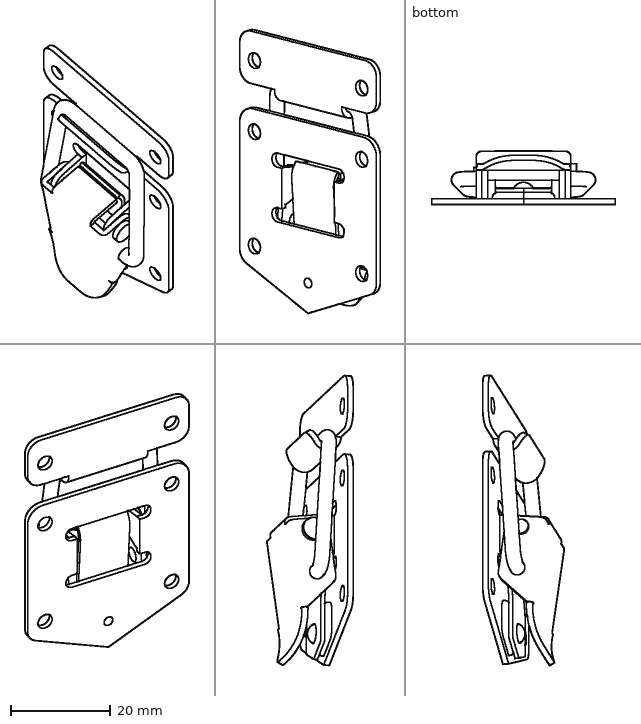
import cadquery as cq
import math


sheet = 1.2
plate_width = 37.0
half_width = plate_width / 2
total_height = 56.2
screw_hole_dia = 3.2
screw_hole_x = 14.5
tail_slope = 0.433

base_top = 40.0
base_top_radius = 3.5
base_side_radius = 3.0
base_hole_heights = (11.25, 35.25)

slot_half_length = 9.75
slot_height = 2.95
upper_slot_z = 30.53
lower_slot_z = 19.05

pad_half_width = 6.3
pad_tip_z = 1.8
pad_top = 12.0
pad_height = 1.3
pad_corner_radius = 2.15
pad_edge_radius = 1.2

pin_depth = 6.0
pin_z = 25.5
pin_radius = 1.05
small_head_radius = 1.5
small_head_thickness = 0.5
large_head_radius = 2.25
large_head_thickness = 1.15
lug_end_radius = 2.6
lug_root_top = 29.0
lug_root_bottom = 21.15

lever_half_width = 9.55
lever_inner_x = lever_half_width - sheet
lug_inner_x = lever_inner_x - sheet
lever_tilt = 8.0
lever_top_depth = 10.77
lever_top_z = 27.2
lever_face_length = 18.12
flange_depth = 7.95
flange_back_end = 13.0
flange_top_radius = 2.6
flange_back_radius = 2.0
lever_edge_radius = 1.2
tongue_rise = 0.3
tongue_bend_radius = sheet
tongue_length = 7.45
tongue_half_width = 5.65
lip_radius = 13.2
lip_angle = 38.4
lip_flat_half = 1.9
lip_corner_radius = 6.0
lip_taper = 23.0

wire_radius = 1.5
bail_pivot_depth = 5.2
bail_pivot_z = 16.75
bail_bend_radius = 2.5
bail_top_half = 10.97
bail_pivot_half = 13.21
bail_bar_z = 45.0

strike_bottom = 45.19
strike_corner_radius = 3.0
strike_hole_z = 50.2
hook_half_width = 9.05
hook_radius = 2.95
hook_lip_angle = 58.0
hook_lip_length = 3.02
hook_lip_corner = 2.5
bail_bar_depth = hook_radius

spring_thickness = 0.8
spring_half_width = 5.65
spring_tip_z = 1.05
spring_corner_radius = 0.6
spring_lean_z = 12.2
spring_curl_z = 27.0
spring_curl_depth = 1.38
spring_curl_radius = 4.0
spring_curl_end = 48.0
rivet_z = 6.4
rivet_head_radius = 2.0
rivet_head_height = 1.2
rivet_shank_radius = 1.0
spring_depth = sheet + pad_height
rivet_seat_depth = spring_depth + spring_thickness


def polar(radius, angle):
    """Point at an angle in degrees from the first axis."""
    return radius * math.cos(math.radians(angle)), radius * math.sin(math.radians(angle))


def rod_x(x_start, x_end, radius, depth, z):
    """Cylinder along X."""
    plane = cq.Plane(origin=(x_start, -depth, z), xDir=(0, 1, 0), normal=(1, 0, 0))
    return cq.Workplane(plane).circle(radius).extrude(x_end - x_start)


def facing_plane(depth):
    """Sketch plane facing forward: local x is X, local y is Z, extrusion runs along -Y."""
    return cq.Workplane("XZ", origin=(0, -depth, 0))


def shield(depth, thickness, half, tip_z, top, side_radius, top_radius=0):
    """Plate with a square top and a V-shaped lower end."""
    side_z = tip_z + tail_slope * half
    outline = [(-half, top), (-half, side_z), (0, tip_z), (half, side_z), (half, top)]
    plate = facing_plane(depth).polyline(outline).close().extrude(thickness)
    plate = plate.edges("|Y").edges("<X or >X").edges("<Z").fillet(side_radius)
    if top_radius:
        plate = plate.edges("|Y").edges(">Z").fillet(top_radius)
    return plate


def screw_holes(heights):
    points = [(side * screw_hole_x, z) for side in (-1, 1) for z in heights]
    return facing_plane(0).pushPoints(points).circle(screw_hole_dia / 2).extrude(sheet)


def lug(x_start):
    """Upright ear carrying the hinge pin, with edges tangent to its rounded end."""

    def tangent_point(root_z, side):
        reach = pin_depth - sheet
        rise = (root_z - pin_z) * side
        to_root = math.degrees(math.atan2(rise, -reach))
        spread = math.degrees(math.acos(lug_end_radius / math.hypot(reach, rise)))
        forward, up = polar(lug_end_radius, to_root - spread)
        return -(pin_depth + forward), pin_z + side * up

    return (
        cq.Workplane("YZ", origin=(x_start, 0, 0))
        .moveTo(-sheet, lug_root_bottom)
        .lineTo(-sheet, lug_root_top)
        .lineTo(*tangent_point(lug_root_top, 1))
        .threePointArc((-(pin_depth + lug_end_radius), pin_z), tangent_point(lug_root_bottom, -1))
        .close()
        .extrude(sheet)
    )


def make_base():
    base = shield(0, sheet, half_width, 0, base_top, base_side_radius, base_top_radius)
    base = base.cut(screw_holes(base_hole_heights))
    for z in (lower_slot_z, upper_slot_z):
        slot = facing_plane(0).center(0, z).slot2D(2 * slot_half_length, slot_height).extrude(sheet)
        base = base.cut(slot)
    opening_height = upper_slot_z - lower_slot_z
    opening = (
        facing_plane(0)
        .center(0, lower_slot_z + opening_height / 2)
        .rect(2 * lug_inner_x, opening_height)
        .extrude(sheet)
    )
    base = base.cut(opening)
    pad = shield(sheet, pad_height, pad_half_width, pad_tip_z, pad_top, pad_corner_radius, pad_corner_radius)
    base = base.union(pad.faces("<Y").edges().fillet(pad_edge_radius))
    for x_start in (-lever_inner_x, lug_inner_x):
        base = base.union(lug(x_start))
    base = base.cut(rod_x(-half_width, half_width, pin_radius, pin_depth, pin_z))
    rivet_hole = facing_plane(0).center(0, rivet_z).circle(rivet_shank_radius).extrude(spring_depth)
    return base.cut(rivet_hole)


def make_strike():
    height = total_height - strike_bottom
    plate = (
        facing_plane(0)
        .center(0, strike_bottom + height / 2)
        .rect(plate_width, height)
        .extrude(sheet)
        .edges("|Y")
        .fillet(strike_corner_radius)
        .cut(screw_holes([strike_hole_z]))
    )

    def on_bend(radius, angle):
        """Point on the hook bend; the angle runs from the plate down and forward."""
        back, down = polar(radius, angle)
        return back - hook_radius, strike_bottom - down

    inner_radius = hook_radius - sheet
    bend_end = 90 + hook_lip_angle
    forward, up = polar(hook_lip_length, hook_lip_angle)
    outer_end = on_bend(hook_radius, bend_end)
    inner_end = on_bend(inner_radius, bend_end)
    hook = (
        cq.Workplane("YZ")
        .moveTo(0, strike_bottom)
        .threePointArc(on_bend(hook_radius, bend_end / 2), outer_end)
        .line(-forward, up)
        .lineTo(inner_end[0] - forward, inner_end[1] + up)
        .lineTo(*inner_end)
        .threePointArc(on_bend(inner_radius, bend_end / 2), (-sheet, strike_bottom))
        .close()
        .extrude(hook_half_width, both=True)
    )
    tip_corners = hook.faces(">Z").edges("<X or >X")
    hook = tip_corners.fillet(hook_lip_corner)
    return plate.union(hook)


tilt_cos, tilt_sin = polar(1, lever_tilt)
lever_plane = cq.Plane(
    origin=(0, -lever_top_depth, lever_top_z),
    xDir=(0, tilt_cos, tilt_sin),
    normal=(1, 0, 0),
)


def make_lever():
    flange_profile = [
        (0, 0),
        (flange_depth, 0),
        (flange_depth, -flange_back_end),
        (sheet, -lever_face_length),
        (0, -lever_face_length),
    ]

    def corner(x, y):
        point = lever_plane.toWorldCoords((x, y, 0))
        return cq.selectors.NearestToPointSelector(point)

    lever = cq.Workplane(lever_plane).polyline(flange_profile).close().extrude(lever_half_width, both=True)
    lever = lever.edges(corner(flange_depth, 0)).fillet(flange_top_radius)
    lever = lever.edges(corner(flange_depth, -flange_back_end)).fillet(flange_back_radius)
    for side in (-1, 1):
        front_edge = lever_plane.toWorldCoords((0, -lever_face_length / 2, side * lever_half_width))
        lever = lever.edges(cq.selectors.NearestToPointSelector(front_edge)).fillet(lever_edge_radius)
    hollow = (
        cq.Workplane(lever_plane)
        .moveTo(sheet, 0)
        .rect(flange_depth, -lever_face_length, centered=False)
        .extrude(lever_inner_x, both=True)
    )
    lever = lever.cut(hollow).union(make_tongue()).union(make_lip())
    lever = lever.cut(rod_x(-half_width, half_width, pin_radius, pin_depth, pin_z))
    return lever.cut(rod_x(-half_width, half_width, wire_radius, bail_pivot_depth, bail_pivot_z))


def make_tongue():
    """Tab bent back from the top of the face."""
    tongue_top = tongue_rise + tongue_bend_radius
    arc_x, arc_y = polar(tongue_bend_radius, 135)
    return (
        cq.Workplane(lever_plane)
        .lineTo(0, tongue_rise)
        .threePointArc(
            (tongue_bend_radius + arc_x, tongue_rise + arc_y),
            (tongue_bend_radius, tongue_top),
        )
        .lineTo(tongue_length, tongue_top)
        .line(0, -sheet)
        .lineTo(sheet, tongue_rise)
        .lineTo(sheet, 0)
        .close()
        .extrude(tongue_half_width, both=True)
    )


def make_lip():
    """Finger lip curling forward below the face, with a rounded and tapered end."""

    def on_curl(radius, angle):
        across, down = polar(radius, angle)
        return across - lip_radius, -lever_face_length - down

    back_radius = lip_radius + sheet
    curl = (
        cq.Workplane(lever_plane)
        .moveTo(*on_curl(lip_radius, 0))
        .threePointArc(on_curl(lip_radius, lip_angle / 2), on_curl(lip_radius, lip_angle))
        .lineTo(*on_curl(back_radius, lip_angle))
        .threePointArc(on_curl(back_radius, lip_angle / 2), on_curl(back_radius, 0))
        .close()
        .extrude(lever_half_width, both=True)
    )
    normal_y, normal_z = polar(1, lip_angle - lever_tilt)
    tip = lever_plane.toWorldCoords((*on_curl(lip_radius, lip_angle), 0))
    outline_plane = cq.Plane(origin=tip, xDir=(1, 0, 0), normal=(0, -normal_y, normal_z))
    taper_start = polar(lip_corner_radius, -lip_taper)
    arc_middle = polar(lip_corner_radius, -(90 + lip_taper) / 2)
    taper_x = lip_flat_half + taper_start[0]
    taper_y = lip_corner_radius + taper_start[1]
    full_width_y = taper_y + (lever_half_width - taper_x) / math.tan(math.radians(lip_taper))
    outline = (
        cq.Workplane(outline_plane)
        .lineTo(lip_flat_half, 0)
        .threePointArc(
            (lip_flat_half + arc_middle[0], lip_corner_radius + arc_middle[1]),
            (taper_x, taper_y),
        )
        .lineTo(lever_half_width, full_width_y)
        .line(0, lip_radius)
        .lineTo(0, full_width_y + lip_radius)
        .close()
        .extrude(lip_radius, both=True)
    )
    return curl.intersect(outline.union(outline.mirror("YZ")))


def make_bail():
    rise = bail_bar_z - bail_pivot_z
    retreat = bail_pivot_depth - bail_bar_depth
    length = math.hypot(rise, retreat)
    plane = cq.Plane(
        origin=(0, -bail_pivot_depth, bail_pivot_z),
        xDir=(1, 0, 0),
        normal=(0, -rise, retreat),
    )
    left_half = [(-lever_inner_x, 0), (-bail_pivot_half, 0), (-bail_top_half, length)]
    corners = left_half + [(-x, y) for x, y in reversed(left_half)]
    centre_line = cq.Wire.makePolygon([plane.toWorldCoords(p) for p in corners]).fillet(bail_bend_radius)
    start = cq.Plane(origin=plane.toWorldCoords(corners[0]), xDir=(0, 1, 0), normal=(-1, 0, 0))
    return cq.Workplane(start).circle(wire_radius).sweep(cq.Workplane(obj=centre_line))


def make_pin():
    pin = rod_x(-lever_half_width, lever_half_width, pin_radius, pin_depth, pin_z)
    small_end = -lever_half_width - small_head_thickness
    large_end = lever_half_width + large_head_thickness
    pin = pin.union(rod_x(small_end, -lever_half_width, small_head_radius, pin_depth, pin_z))
    return pin.union(rod_x(lever_half_width, large_end, large_head_radius, pin_depth, pin_z))


def make_spring():
    """Leaf riveted to the pad, leaning towards the base and curling forward behind the tongue."""
    lean = math.degrees(math.atan2(spring_depth - spring_curl_depth, spring_curl_z - spring_lean_z))
    inner_radius = spring_curl_radius - spring_thickness
    reach, drop = polar(spring_curl_radius, lean)

    def on_curl(radius, angle):
        back, up = polar(radius, angle)
        return back - reach - spring_curl_depth, spring_curl_z + drop + up

    middle = (spring_curl_end - lean) / 2
    profile = (
        cq.Workplane("YZ")
        .moveTo(-spring_depth, spring_tip_z)
        .lineTo(-spring_depth, spring_lean_z)
        .lineTo(*on_curl(spring_curl_radius, -lean))
        .threePointArc(on_curl(spring_curl_radius, middle), on_curl(spring_curl_radius, spring_curl_end))
        .lineTo(*on_curl(inner_radius, spring_curl_end))
        .threePointArc(on_curl(inner_radius, middle), on_curl(inner_radius, -lean))
        .lineTo(-rivet_seat_depth, spring_lean_z)
        .lineTo(-rivet_seat_depth, spring_tip_z)
        .close()
        .extrude(spring_half_width, both=True)
    )
    outline = shield(0, lever_top_depth, spring_half_width, spring_tip_z, base_top, spring_corner_radius)
    rivet_hole = facing_plane(0).center(0, rivet_z).circle(rivet_shank_radius).extrude(rivet_seat_depth)
    return profile.intersect(outline).cut(rivet_hole)


def make_rivet():
    shank = facing_plane(0).center(0, rivet_z).circle(rivet_shank_radius).extrude(rivet_seat_depth)
    dome_radius = (rivet_head_radius**2 + rivet_head_height**2) / (2 * rivet_head_height)
    crown_depth = rivet_seat_depth + rivet_head_height
    ball = cq.Workplane("XY", origin=(0, dome_radius - crown_depth, rivet_z)).sphere(dome_radius)
    cap = facing_plane(rivet_seat_depth).center(0, rivet_z).circle(dome_radius).extrude(dome_radius)
    return shank.union(ball.intersect(cap))


base = make_base()
strike = make_strike()
lever = make_lever()
bail = make_bail()
pin = make_pin()
spring = make_spring()
rivet = make_rivet()

bodies = (base, strike, lever, bail, pin, spring, rivet)
result = cq.Compound.makeCompound([body.solids().val() for body in bodies])